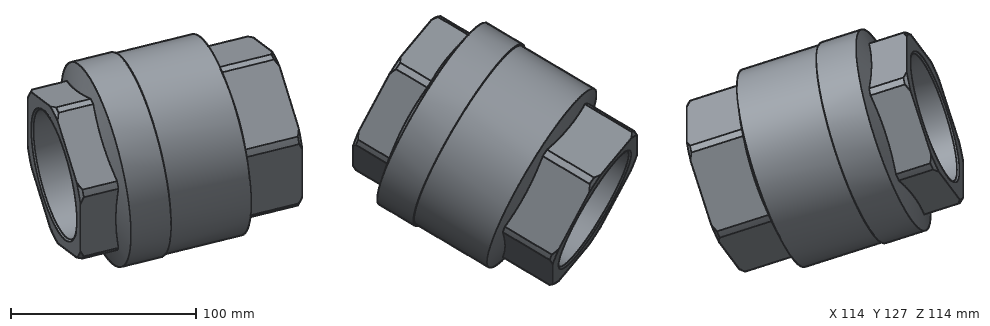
import cadquery as cq
import math

length = 127.0
hex_across_flats = 86.1
hex_corner_diameter = 97.0
end_chamfer = 1.9

collar_diameter = 114.0
barrel_diameter = 112.0
collar_front = 24.0
collar_back = 47.0
barrel_back = 93.2
shoulder_angle = 15.0

bore_diameter = 65.0
socket_diameter = 72.3
socket_depth = 20.3
socket_chamfer = 1.0


def revolve_about_y(half_profile):
    """Revolve a closed (radius, y) outline about the Y axis."""
    return cq.Workplane("XY").polyline(half_profile).close().revolve(360, (0, 0, 0), (0, 1, 0))


def hexagonal_core():
    """Full-length hexagon with flats facing +/-X, turned down at its corners and ends."""
    across_corners = hex_across_flats / math.cos(math.radians(30))
    hexagon = (
        cq.Workplane("XZ")
        .transformed(rotate=(0, 0, 30))
        .polygon(6, across_corners)
        .extrude(-length)
    )
    corner_radius = hex_corner_diameter / 2
    end_radius = corner_radius - end_chamfer
    turned_envelope = revolve_about_y([
        (0, 0),
        (end_radius, 0),
        (corner_radius, end_chamfer),
        (corner_radius, length - end_chamfer),
        (end_radius, length),
        (0, length),
    ])
    return hexagon.intersect(turned_envelope)


def round_body():
    """Stepped body whose two end faces rise as shallow cones towards the hexagon."""
    collar_radius = collar_diameter / 2
    barrel_radius = barrel_diameter / 2
    inner_radius = bore_diameter / 2
    slope = math.tan(math.radians(shoulder_angle))
    front_rise = (collar_radius - inner_radius) * slope
    back_rise = (barrel_radius - inner_radius) * slope
    return revolve_about_y([
        (inner_radius, collar_front - front_rise),
        (collar_radius, collar_front),
        (collar_radius, collar_back),
        (barrel_radius, collar_back),
        (barrel_radius, barrel_back),
        (inner_radius, barrel_back + back_rise),
    ])


def bore():
    """Through bore, the socket at each end and the chamfer at each mouth."""
    bore_radius = bore_diameter / 2
    socket_radius = socket_diameter / 2
    mouth_radius = socket_radius + socket_chamfer
    return revolve_about_y([
        (0, 0),
        (mouth_radius, 0),
        (socket_radius, socket_chamfer),
        (socket_radius, socket_depth),
        (bore_radius, socket_depth),
        (bore_radius, length - socket_depth),
        (socket_radius, length - socket_depth),
        (socket_radius, length - socket_chamfer),
        (mouth_radius, length),
        (0, length),
    ])


result = hexagonal_core().union(round_body()).cut(bore())